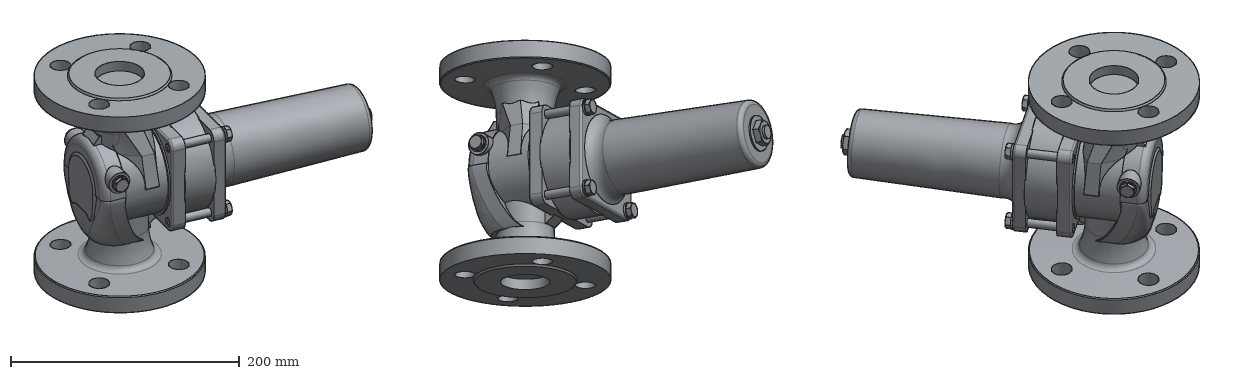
import cadquery as cq
import math


overall_length = 317.5

flange_radius = 75.0
face_half_height = 100.0
raised_face_height = 2.0
raised_face_radius = 44.5
raised_face_foot_radius = 45.7
flange_rear_z = 82.0
flange_edge_bevel = 1.0
bore_diameter = 43.2
bore_depth = 9.5
flange_hole_diameter = 18.0
flange_hole_offset = 38.7

neck_radius = 25.5
neck_straight_z = 52.5
neck_flare_mid = (26.7, 65.0)
neck_flare_end = (30.2, 76.0)
neck_fillet_mid = (32.7, 79.5)
neck_foot = (36.5, 80.7)

barrel_radius = 41.3
body_rear_y = 28.5
collar_radius = 43.5
collar_length = 1.5
bowl_radius = 42.0
bowl_front_y = -36.5
bowl_rear_y = -14.0
bowl_edge_round = 7.5
bowl_sections = [
    (0, bowl_radius, bowl_front_y, bowl_rear_y, bowl_edge_round),
    (-12.7, 41.0, bowl_front_y, bowl_rear_y, 8.3),
    (-38.0, 33.5, bowl_front_y, -4.8, 16.5),
    (-57.2, 25.0, -29.2, 11.0, 22.2),
]

pad_height = 1.5
pad_sink = 0.5
pad_radius = 28.3
pad_side_slope = 3.8
pad_bottom_slope = 2.0
pad_side_lean = 1.3
pad_sill_z = -27.3
pad_sill_half_width = 11.5
pad_lobe_x = 17.5
pad_lobe_bottom_z = -31.0
pad_lobe_top_z = -21.0
pad_lobe_round = (2.5, 3.5)

crest_width = 22.2
crest_profile = [(-21.5, 38.0), (-21.5, 48.3), (-25.5, 48.3), (-30.5, 41.3), (-30.5, 38.0)]
rib_width = 16.0
rib_profile = [(33.7, -41.3), (33.7, -45.5), (25.5, -52.0), (16.0, -52.0), (16.0, -38.0)]

shoulder_sections = [
    (3.2, 42.0, 5.5, 18.5, 27.0, -13.5, 27.0),
    (33.5, 35.0, 4.5, 16.8, 22.2, -13.5, 23.5),
    (58.8, 24.8, -9.2, 9.0, 14.3, -21.3, 21.3),
]

plate_half_side = 45.5
bolt_offset = 37.0
plate_corner_radius = plate_half_side - bolt_offset
plate_edge_round = 2.0
body_plate_front_y = 42.0
housing_plate_y = 69.5
housing_plate_rear_y = 81.5
cylinder_diameter = 95.0
cylinder_overlap = 1.0
rod_diameter = 8.0
rod_end_recess = 1.3
bolt_seat_diameter = 18.0
washer_thickness = 2.0
washer_diameter = 14.5
bolt_head_height = 5.0
bolt_head_flats = 12.0

housing_foot_radius = 40.0
housing_flare_mid = (34.5, 86.5)
housing_base_y = 96.0
housing_base_radius = 33.0
housing_end_y = 232.8
housing_end_radius = 30.2
housing_end_round = 4.5
end_boss_radius = 16.0
end_boss_rear_y = 234.0
end_nut_flats = 20.0
end_nut_rear_y = 240.5
stud_diameter = 12.0
stud_rear_y = overall_length - flange_radius

plug_y = -22.0
plug_z = 18.0
plug_boss_diameter = 20.0
plug_boss_x = 44.8
plug_washer_diameter = 15.0
plug_washer_x = 46.7
plug_head_flats = 12.0
plug_head_x = 50.5

hex_bevel = 1.0


def cylinder_y(radius, start_y, end_y, x=0, z=0):
    """Cylinder along Y between two Y positions."""
    origin = cq.Vector(x, start_y, z)
    return cq.Workplane(cq.Solid.makeCylinder(radius, end_y - start_y, origin, cq.Vector(0, 1, 0)))


def hex_head(flats, height):
    """Hexagonal head standing on Z = 0, corners along X, with its top corners turned round."""
    corner_diameter = flats / math.cos(math.radians(30))
    head = cq.Workplane("XY").polygon(6, corner_diameter).extrude(height)
    turned = cq.Workplane("XY").circle(corner_diameter / 2).extrude(height)
    turned = turned.faces(">Z").chamfer(hex_bevel, (corner_diameter - flats) / 2)
    return head.intersect(turned)


def pipe_end():
    """Upper flange with its neck, as one turned piece reaching down to Z = 0."""
    raised_foot_z = face_half_height - raised_face_height
    turned = (
        cq.Workplane("XZ")
        .moveTo(0, 0)
        .lineTo(neck_radius, 0)
        .lineTo(neck_radius, neck_straight_z)
        .threePointArc(neck_flare_mid, neck_flare_end)
        .threePointArc(neck_fillet_mid, neck_foot)
        .lineTo(flange_radius - flange_edge_bevel, flange_rear_z)
        .lineTo(flange_radius, flange_rear_z + flange_edge_bevel)
        .lineTo(flange_radius, raised_foot_z)
        .lineTo(raised_face_foot_radius, raised_foot_z)
        .lineTo(raised_face_radius, face_half_height)
        .lineTo(0, face_half_height)
        .close()
        .revolve(360, (0, 0, 0), (0, 1, 0))
    )
    bore = (
        cq.Workplane("XY", origin=(0, 0, face_half_height - bore_depth))
        .circle(bore_diameter / 2)
        .extrude(bore_depth)
    )
    bolt_holes = (
        cq.Workplane("XY", origin=(0, 0, neck_straight_z))
        .rect(2 * flange_hole_offset, 2 * flange_hole_offset, forConstruction=True)
        .vertices()
        .circle(flange_hole_diameter / 2)
        .extrude(face_half_height)
    )
    return turned.cut(bore).cut(bolt_holes)


def barrel():
    """Horizontal chamber behind the bowl, with a thin collar against the plate."""
    chamber = cylinder_y(barrel_radius, bowl_rear_y, body_rear_y)
    return chamber.union(cylinder_y(collar_radius, body_rear_y - collar_length, body_rear_y))


def bowl_section(plane, half_width, front_y, rear_y, corner):
    """Level section of the bowl: flat rear, straight sides and rounded front corners."""
    bulge = corner * (1 - math.sqrt(0.5))
    straight_x = half_width - corner
    side_y = front_y + corner
    return (
        plane.moveTo(half_width, rear_y)
        .lineTo(half_width, side_y)
        .threePointArc((half_width - bulge, front_y + bulge), (straight_x, front_y))
        .lineTo(-straight_x, front_y)
        .threePointArc((bulge - half_width, front_y + bulge), (-half_width, side_y))
        .lineTo(-half_width, rear_y)
        .close()
    )


def bowl():
    """Front of the body: round above the plug line, swept back into the lower neck below it."""
    upper = (
        cq.Workplane("XZ", origin=(0, bowl_rear_y, 0))
        .moveTo(bowl_radius, 0)
        .threePointArc((0, bowl_radius), (-bowl_radius, 0))
        .close()
        .extrude(bowl_rear_y - bowl_front_y)
        .faces("<Y")
        .edges("not #Z")
        .fillet(bowl_edge_round)
    )
    lower = cq.Workplane("XY")
    height = 0
    for z, half_width, front_y, rear_y, corner in bowl_sections:
        lower = lower.workplane(offset=z - height)
        lower = bowl_section(lower, half_width, front_y, rear_y, corner)
        height = z
    return upper.union(lower.loft())


def pad_outline(plane, side_inset, bottom_inset):
    """Outline with a round top and two lobes at the lower corners, drawn inside the pad's foot."""
    radius = pad_radius - side_inset
    side_x = radius - pad_side_lean
    sill_z = pad_sill_z + bottom_inset
    lobe_z = pad_lobe_bottom_z + bottom_inset
    round_x = side_x - pad_lobe_round[0]
    round_z = lobe_z + pad_lobe_round[1]
    return (
        plane.moveTo(radius, 0)
        .threePointArc((0, radius), (-radius, 0))
        .lineTo(-side_x, pad_lobe_top_z)
        .threePointArc((-round_x, round_z), (-pad_lobe_x, lobe_z))
        .lineTo(-pad_sill_half_width, sill_z)
        .lineTo(pad_sill_half_width, sill_z)
        .lineTo(pad_lobe_x, lobe_z)
        .threePointArc((round_x, round_z), (side_x, pad_lobe_top_z))
        .close()
    )


def front_pad():
    """Raised panel with sloping edges on the front of the bowl."""
    foot = pad_outline(cq.Workplane("XZ", origin=(0, bowl_front_y + pad_sink, 0)), 0, 0)
    top_plane = foot.workplane(offset=pad_height + pad_sink)
    return pad_outline(top_plane, pad_side_slope, pad_bottom_slope).loft(ruled=True)


def shoulder():
    """Web that carries the upper neck down onto both sides of the barrel."""
    web = cq.Workplane("XY")
    height = 0
    for z, side_x, side_front, side_rear, flank_x, flank_front, flank_rear in shoulder_sections:
        right = [
            (flank_x, flank_front),
            (side_x, side_front),
            (side_x, side_rear),
            (flank_x, flank_rear),
        ]
        left = [(-x, y) for x, y in reversed(right)]
        web = web.workplane(offset=z - height).polyline(right + left).close()
        height = z
    return web.loft(ruled=True)


def central_web(profile, width):
    """Web of the given YZ profile, centred on X = 0."""
    return cq.Workplane("YZ").polyline(profile).close().extrude(width / 2, both=True)


def side_plug(side):
    """Round boss with a washer and hexagonal plug; side is -1 or +1 along X."""
    start = cq.Workplane("YZ", origin=(0, plug_y, plug_z))
    boss = start.circle(plug_boss_diameter / 2).extrude(side * plug_boss_x)
    washer = start.circle(plug_washer_diameter / 2).extrude(side * plug_washer_x)
    head = (
        hex_head(plug_head_flats, plug_head_x - plug_washer_x)
        .rotate((0, 0, 0), (0, 1, 0), side * 90)
        .translate((side * plug_washer_x, plug_y, plug_z))
    )
    return boss.union(washer).union(head)


def plate(start_y, end_y, outer_face):
    """Square plate with rounded corners and a rounded outer edge."""
    side = 2 * plate_half_side
    return (
        cq.Workplane("XZ", origin=(0, end_y, 0))
        .rect(side, side)
        .extrude(end_y - start_y)
        .edges("|Y")
        .fillet(plate_corner_radius)
        .faces(outer_face)
        .edges()
        .fillet(plate_edge_round)
    )


def spring_housing():
    """Tapered tube with a flared foot, an end boss, a nut and a stud end."""
    tube = (
        cq.Workplane("XY")
        .moveTo(0, housing_plate_rear_y)
        .lineTo(housing_foot_radius, housing_plate_rear_y)
        .threePointArc(housing_flare_mid, (housing_base_radius, housing_base_y))
        .lineTo(housing_end_radius, housing_end_y)
        .lineTo(0, housing_end_y)
        .close()
        .revolve(360, (0, 0, 0), (0, 1, 0))
        .faces(">Y")
        .edges()
        .fillet(housing_end_round)
    )
    end_boss = cylinder_y(end_boss_radius, housing_end_y, end_boss_rear_y)
    nut = (
        hex_head(end_nut_flats, end_nut_rear_y - end_boss_rear_y)
        .rotate((0, 0, 0), (1, 0, 0), -90)
        .translate((0, end_boss_rear_y, 0))
    )
    stud = cylinder_y(stud_diameter / 2, end_boss_rear_y, stud_rear_y)
    return tube.union(end_boss).union(nut).union(stud)


def bolt(x, z):
    """Rod joining the two plates, with a washer and hexagonal head at the rear."""
    head_y = housing_plate_rear_y + washer_thickness
    rod = cylinder_y(rod_diameter / 2, body_plate_front_y, housing_plate_y, x, z)
    washer = cylinder_y(washer_diameter / 2, housing_plate_rear_y, head_y, x, z)
    head = (
        hex_head(bolt_head_flats, bolt_head_height)
        .rotate((0, 0, 0), (1, 0, 0), -90)
        .translate((x, head_y, z))
    )
    return rod.union(washer).union(head)


upper_end = pipe_end()
body = upper_end.union(upper_end.mirror("XY"))
for piece in (barrel(), bowl(), front_pad(), shoulder()):
    body = body.union(piece)
body = body.union(central_web(crest_profile, crest_width))
body = body.union(central_web(rib_profile, rib_width))
for side in (-1, 1):
    body = body.union(side_plug(side))

body = body.union(plate(body_rear_y, body_plate_front_y, "<Y"))
body = body.union(
    cylinder_y(
        cylinder_diameter / 2,
        body_plate_front_y - cylinder_overlap,
        housing_plate_y + cylinder_overlap,
    )
)
body = body.union(plate(housing_plate_y, housing_plate_rear_y, ">Y"))

housing = spring_housing()
bolt_places = [(i * bolt_offset, j * bolt_offset) for i in (-1, 1) for j in (-1, 1)]
for x, z in bolt_places:
    seat_space = cylinder_y(bolt_seat_diameter / 2, housing_plate_rear_y, housing_base_y, x, z)
    housing = housing.cut(seat_space)
body = body.union(housing)

for x, z in bolt_places:
    body = body.union(bolt(x, z))
    body = body.cut(cylinder_y(rod_diameter / 2, body_rear_y, body_rear_y + rod_end_recess, x, z))

result = body